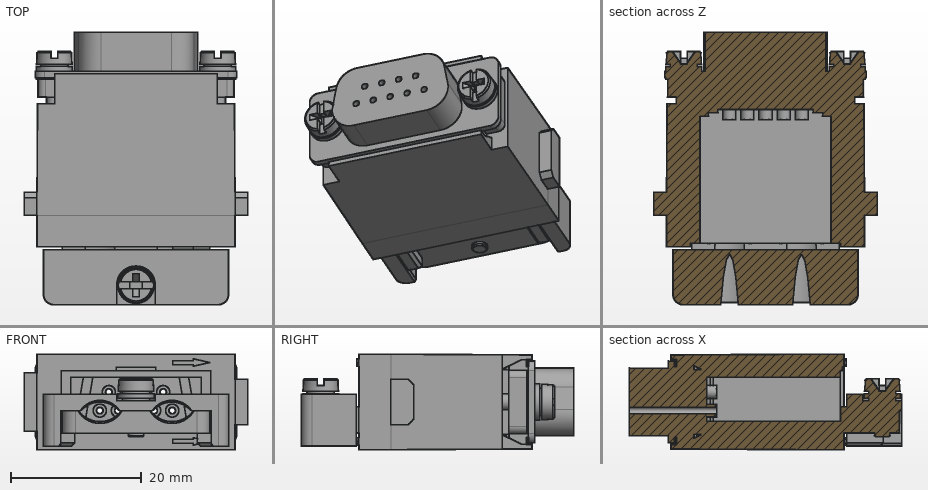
import cadquery as cq
import math


hood_width = 30.35
hood_height = 14.65
cap_length = 4.84
wide_length = 21.94
hood_length = 26.5
hood_draft = 0.3
tongue_width = 24.9
flap_inner_z = 6.48
flap_root_z = 5.0
flap_straight_y = 24.9

lug_reach = 17.1
lug_length = 3.55
lug_chamfer = 0.87
left_lug_height = 8.97
right_lug_height = 6.98

opening_width = 22.94
opening_height = 9.54
opening_depth = 0.55
window_width = 20.0
window_top_z = 3.77
window_bottom_z = -2.92
cavity_end_y = 20.0
notch_width = 6.1
notch_height = 0.57
notch_depth = 0.2

arrow_start_x = 5.63
arrow_neck_x = 8.75
arrow_tip_x = 11.27
arrow_shaft_half = 0.31
arrow_head_half = 0.57
arrow_relief = 0.35
arrow_z = 6.03

core_half_width = 12.0
core_root_half_width = 11.5
bracket_width = 30.0
bracket_height = 9.7
bracket_radius = 1.1
bracket_start_y = 22.93
bracket_end_y = 25.64
core_plate_height = 10.8
flange_width = 30.9
flange_height = 12.54
flange_radius = 1.45
flange_start_y = 25.9
flange_end_y = 26.9
shell_end_y = 32.88
shell_height = 10.4
shell_width = 18.94
shell_radius = 3.5
shell_angle = 10.0

contact_pitch = 2.77
contact_row_z = 1.42
contact_middle_z = 0.1
contact_hole_diameter = 0.95
cup_diameter = 2.0
cup_length = 1.5
outer_step_top_width = 16.1
inner_step_top_width = 13.2
step_depth = 0.5

screw_head_radius = 2.73
screw_head_height = 1.98
screw_head_chamfer = 0.25
screw_shoulder_radius = 2.67
washer_radius = 2.77
washer_height = 0.72
washer_gap = 0.33
neck_radius = 2.1
clamp_seat_gap = 0.35
shank_radius = 1.22
shank_chamfer = 0.2
shank_embedding = 0.5
drive_width = 1.0
drive_depth = 1.05
recess_length = 3.5
recess_floor_length = 0.8
recess_depth = 1.9
recess_side = 1.85
flange_screw_x = 12.5

clamp_width = 28.35
clamp_back_y = -0.4
clamp_front_y = -8.85
clamp_top_z = 1.2
clamp_bottom_z = -6.75
clamp_radius = 1.62
clamp_split_z = -1.35
leg_inner_x = 11.5
leg_flare_width = 0.25
leg_flare_height = 0.4
bar_width = 22.6
bar_bottom_z = -4.77
bar_front_y = -8.5
bar_radius = 2.0
tongue_top_z = -0.7
hook_inner_x = 9.4
hook_front_y = -6.0
hook_chamfer = 0.5
clamp_screw_y = -5.85
pocket_radius = 2.95
pocket_floor_z = 0.2
screw_tip_z = -5.35
cable_x = 5.5
upper_groove_chord = 6.0
upper_groove_rise = 1.6
lower_groove_chord = 6.7
lower_groove_rise = 1.95
groove_flattening = 0.3


def box(x0, x1, y0, y1, z0, z1):
    return cq.Workplane("XY").box(x1 - x0, y1 - y0, z1 - z0, centered=False).translate((x0, y0, z0))


def wide_box(width, y0, y1, z0, z1):
    """Box centred on X = 0."""
    return box(-width / 2, width / 2, y0, y1, z0, z1)


def y_plane(y):
    """Sketch plane facing -Y at the given Y; extrude by a negative length to go to +Y."""
    return cq.Workplane("XZ", origin=(0, y, 0))


def hood():
    cap = wide_box(hood_width, 0, cap_length, -hood_height / 2, hood_height / 2)
    rear = (y_plane(cap_length).rect(hood_width, hood_height)
            .extrude(cap_length - hood_length, taper=hood_draft))
    body = cap.union(rear)
    for side in (-1, 1):
        corner = box(tongue_width / 2, hood_width, wide_length, hood_length, -hood_height, hood_height)
        body = body.cut(corner if side > 0 else corner.mirror("YZ"))
    flap_gap = (cq.Workplane("YZ")
                .moveTo(wide_length, -flap_root_z)
                .lineTo(flap_straight_y, -flap_inner_z)
                .lineTo(hood_length, -flap_inner_z)
                .lineTo(hood_length, flap_inner_z)
                .lineTo(flap_straight_y, flap_inner_z)
                .lineTo(wide_length, flap_root_z)
                .close().extrude(hood_width / 2, both=True))
    return body.cut(flap_gap)


def lug(side, height):
    block = box(0, lug_reach, cap_length, cap_length + lug_length, -height / 2, height / 2)
    block = block.edges("|X and >Y").chamfer(lug_chamfer)
    return block if side > 0 else block.mirror("YZ")


def arrow(z):
    return (y_plane(0)
            .moveTo(arrow_start_x, z - arrow_shaft_half)
            .lineTo(arrow_neck_x, z - arrow_shaft_half)
            .lineTo(arrow_neck_x, z - arrow_head_half)
            .lineTo(arrow_tip_x, z)
            .lineTo(arrow_neck_x, z + arrow_head_half)
            .lineTo(arrow_neck_x, z + arrow_shaft_half)
            .lineTo(arrow_start_x, z + arrow_shaft_half)
            .close().extrude(arrow_relief))


def plate(width, height, y0, y1, radius):
    return wide_box(width, y0, y1, -height / 2, height / 2).edges("|Y").fillet(radius)


def connector_shell():
    """D-shaped prism, wider at the bottom."""
    lean = math.radians(shell_angle)
    radius = shell_radius
    centre_z = shell_height / 2 - radius
    low_x = shell_width / 2 - radius
    high_x = low_x - 2 * centre_z * math.tan(lean)
    side_dx = radius * math.cos(lean)
    side_dz = radius * math.sin(lean)
    high_mid = math.radians((90 + shell_angle) / 2)
    low_mid = math.radians((shell_angle - 90) / 2)

    def on_arc(x, z, angle):
        return (x + radius * math.cos(angle), z + radius * math.sin(angle))

    def left(point):
        return (-point[0], point[1])

    high_side = (high_x + side_dx, centre_z + side_dz)
    low_side = (low_x + side_dx, -centre_z + side_dz)
    high_arc = on_arc(high_x, centre_z, high_mid)
    low_arc = on_arc(low_x, -centre_z, low_mid)
    high_flat = (high_x, centre_z + radius)
    low_flat = (low_x, -centre_z - radius)
    return (y_plane(flange_end_y).moveTo(*left(high_flat)).lineTo(*high_flat)
            .threePointArc(high_arc, high_side).lineTo(*low_side)
            .threePointArc(low_arc, low_flat).lineTo(*left(low_flat))
            .threePointArc(left(low_arc), left(low_side)).lineTo(*left(high_side))
            .threePointArc(left(high_arc), left(high_flat))
            .close().extrude(flange_end_y - shell_end_y))


def connector():
    root = wide_box(2 * core_root_half_width, wide_length, bracket_start_y, -flap_root_z, flap_root_z)
    core = wide_box(2 * core_half_width, bracket_start_y, bracket_end_y, -flap_inner_z, flap_inner_z)
    bracket = plate(bracket_width, bracket_height, bracket_start_y, bracket_end_y, bracket_radius)
    core_plate = wide_box(2 * core_half_width, bracket_end_y, flange_start_y,
                          -core_plate_height / 2, core_plate_height / 2)
    spacers = (y_plane(bracket_end_y).pushPoints([(-flange_screw_x, 0), (flange_screw_x, 0)])
               .circle(washer_radius).extrude(bracket_end_y - flange_start_y))
    flange = plate(flange_width, flange_height, flange_start_y, flange_end_y, flange_radius)
    shell = connector_shell()
    return root.union(core).union(bracket).union(core_plate).union(spacers).union(flange).union(shell)


def contact_points():
    lower = [(contact_pitch * (i - 2), contact_middle_z - contact_row_z) for i in range(5)]
    upper = [(contact_pitch * (i - 1.5), contact_middle_z + contact_row_z) for i in range(4)]
    return lower + upper


def cavity_step(top_width, y_end):
    """Recess over the full cavity height, widening downwards."""
    height = window_top_z - window_bottom_z
    bottom_width = top_width + 2 * height * math.tan(math.radians(shell_angle))
    return (y_plane(cavity_end_y)
            .moveTo(-top_width / 2, window_top_z)
            .lineTo(top_width / 2, window_top_z)
            .lineTo(bottom_width / 2, window_bottom_z)
            .lineTo(-bottom_width / 2, window_bottom_z)
            .close().extrude(cavity_end_y - y_end))


def cable_cavity():
    mouth = wide_box(opening_width, 0, opening_depth, -opening_height / 2, opening_height / 2)
    notch = wide_box(notch_width, 0, notch_depth, 0, opening_height / 2 + notch_height)
    window = wide_box(window_width, 0, cavity_end_y, window_bottom_z, window_top_z)
    outer_end_y = cavity_end_y + step_depth
    inner_end_y = outer_end_y + step_depth
    outer_step = cavity_step(outer_step_top_width, outer_end_y)
    inner_step = cavity_step(inner_step_top_width, inner_end_y)
    steps = outer_step.union(inner_step)
    cups = (y_plane(inner_end_y).pushPoints(contact_points())
            .circle(cup_diameter / 2).extrude(cup_length))
    return mouth.union(notch).union(window).union(steps).cut(cups)


def contact_holes():
    return (y_plane(shell_end_y).pushPoints(contact_points())
            .circle(contact_hole_diameter / 2).extrude(shell_end_y))


def screw(shank_length, seat_gap=0.0):
    """Slotted screw along Z, seated at the origin, its washer held seat_gap above the seat."""
    head_z = seat_gap + washer_height + washer_gap
    top_z = head_z + screw_head_height
    shank = cq.Workplane("XY").circle(shank_radius).extrude(-shank_length)
    shank = shank.faces("<Z").edges().chamfer(shank_chamfer)
    washer = cq.Workplane("XY", origin=(0, 0, seat_gap)).circle(washer_radius).extrude(washer_height)
    neck = cq.Workplane("XY").circle(neck_radius).extrude(head_z)
    head = (cq.Workplane("XZ")
            .moveTo(0, head_z)
            .lineTo(screw_head_radius, head_z)
            .lineTo(screw_shoulder_radius, top_z - screw_head_chamfer)
            .lineTo(screw_shoulder_radius - screw_head_chamfer, top_z)
            .lineTo(0, top_z)
            .close().revolve())
    slot = box(-screw_head_radius, screw_head_radius, -drive_width / 2, drive_width / 2,
               top_z - drive_depth, top_z)
    cross = (cq.Workplane("YZ")
             .moveTo(-recess_length / 2, top_z).lineTo(recess_length / 2, top_z)
             .lineTo(recess_floor_length / 2, top_z - recess_depth)
             .lineTo(-recess_floor_length / 2, top_z - recess_depth)
             .close().extrude(drive_width / 2, both=True))
    centre = (cq.Workplane("XY", origin=(0, 0, top_z - recess_depth))
              .rect(recess_side, drive_width).extrude(recess_depth))
    return shank.union(washer).union(neck).union(head.cut(slot).cut(cross).cut(centre))


def flange_screw(x):
    """Screw pointing to -Y, slot along Z, seated on the flange."""
    length = flange_end_y - wide_length + shank_embedding
    turned = screw(length).rotate((0, 0, 0), (0, 0, 1), 90).rotate((0, 0, 0), (1, 0, 0), -90)
    return turned.translate((x, flange_end_y, 0))


def cable_channel(x):
    """Lens-shaped channel along Y between bridge and bar, getting flatter inwards."""
    upper_half = upper_groove_chord / 2
    lower_half = lower_groove_chord / 2

    def lens(sketch, flattening):
        top_z = clamp_split_z + upper_groove_rise - flattening
        low_z = clamp_split_z - lower_groove_rise + flattening
        return (sketch.moveTo(x - upper_half, clamp_split_z)
                .threePointArc((x, top_z), (x + upper_half, clamp_split_z))
                .lineTo(x + lower_half, clamp_split_z)
                .threePointArc((x, low_z), (x - lower_half, clamp_split_z))
                .close())

    front = lens(y_plane(clamp_front_y), 0)
    both_sections = lens(front.workplane(offset=clamp_front_y - opening_depth), groove_flattening)
    return both_sections.loft(ruled=True)


def clamp_bridge():
    block = wide_box(clamp_width, clamp_front_y, clamp_back_y, clamp_bottom_z, clamp_top_z)
    block = block.edges("|Z and <Y").fillet(clamp_radius)
    flare_x = leg_inner_x + leg_flare_width
    flare_z = clamp_bottom_z + leg_flare_height
    leg_space = (y_plane(clamp_front_y)
                 .moveTo(-leg_inner_x, clamp_split_z)
                 .lineTo(leg_inner_x, clamp_split_z)
                 .lineTo(leg_inner_x, flare_z)
                 .lineTo(flare_x, clamp_bottom_z)
                 .lineTo(-flare_x, clamp_bottom_z)
                 .lineTo(-leg_inner_x, flare_z)
                 .close().extrude(clamp_front_y))
    block = block.cut(leg_space)
    pocket = cq.Workplane("XY", origin=(0, clamp_screw_y, pocket_floor_z)).circle(pocket_radius)
    pocket = pocket.extrude(clamp_top_z - pocket_floor_z)
    pocket_mouth = wide_box(2 * pocket_radius, clamp_front_y, clamp_screw_y, pocket_floor_z, clamp_top_z)
    return block.cut(pocket).cut(pocket_mouth)


def clamp_hook(side):
    """Foot of a clamp leg, reaching in below the end of the bar."""
    hook = box(hook_inner_x, leg_inner_x, hook_front_y, clamp_back_y, clamp_bottom_z, clamp_split_z)
    hook = hook.edges("<Z and (<X or <Y)").chamfer(hook_chamfer)
    return hook if side > 0 else hook.mirror("YZ")


def cable_clamp():
    bar = wide_box(bar_width, bar_front_y, 0, bar_bottom_z, clamp_split_z)
    bar = bar.edges("|Z and <Y").fillet(bar_radius)
    tongue = wide_box(bar_width, clamp_back_y, opening_depth, bar_bottom_z, tongue_top_z)
    clamp = clamp_bridge().union(bar).union(tongue)
    for side in (-1, 1):
        clamp = clamp.union(clamp_hook(side))
        clamp = clamp.cut(cable_channel(side * cable_x))
    fixing = screw(pocket_floor_z - screw_tip_z, clamp_seat_gap).translate((0, clamp_screw_y, pocket_floor_z))
    return clamp.union(fixing)


result = hood().union(connector())
result = result.union(lug(-1, left_lug_height)).union(lug(1, right_lug_height))
result = result.cut(cable_cavity()).cut(contact_holes())
for screw_x in (-flange_screw_x, flange_screw_x):
    result = result.union(flange_screw(screw_x))
result = result.union(cable_clamp())
for level in (-arrow_z, arrow_z):
    result = result.union(arrow(level))